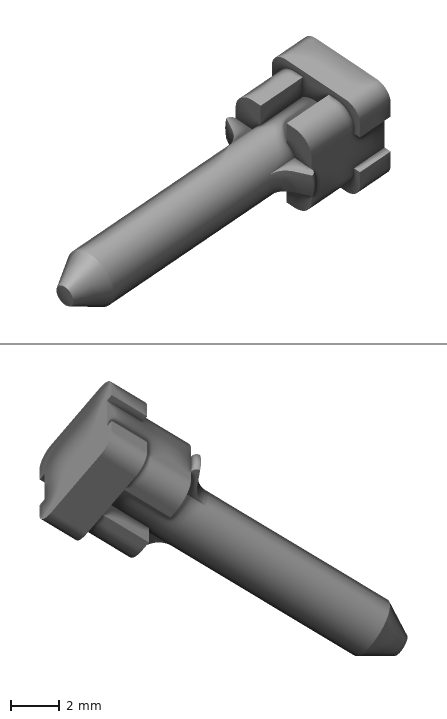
import cadquery as cq

total_length = 16.6
head_width = 5.15
head_length = 1.81
head_corner_radius = 0.81
side_notch_height = 1.96

body_width = 4.45
body_end = 4.3
body_corner_radius = 1.01
body_slot_width = 1.53

shaft_diameter = 2.7
tip_diameter = 1.0
tip_length = 1.51

barb_thickness = 1.16
barb_nose_radius = 0.27
barb_cone_radius = 1.88
barb_cone_end = 0.63
barb_length = 1.53

shaft_radius = shaft_diameter / 2
tip_radius = tip_diameter / 2
barb_radius = head_width / 2


def rounded_block(width, length, corner_radius):
    """Square block running from the rear face toward -Y, rounded along Y."""
    block = cq.Workplane("XZ").rect(width, width).extrude(length)
    return block.edges("|Y").fillet(corner_radius)


def make_head():
    """Rear flange, notched on both X sides down to the body."""
    head = rounded_block(head_width, head_length, head_corner_radius)
    side_depth = (head_width - body_width) / 2
    notch_center = (head_width - side_depth) / 2
    notches = (
        cq.Workplane("XZ")
        .pushPoints([(-notch_center, 0), (notch_center, 0)])
        .rect(side_depth, side_notch_height)
        .extrude(head_length)
    )
    return head.cut(notches)


def make_body():
    """Two rounded cheeks separated by a slot in front of the head."""
    body = rounded_block(body_width, body_end, body_corner_radius)
    slot = (
        cq.Workplane("XZ", origin=(0, -head_length, 0))
        .rect(body_slot_width, body_width)
        .extrude(body_end - head_length)
    )
    return body.cut(slot)


def make_shaft():
    """Round shaft with a truncated conical tip."""
    return (
        cq.Workplane("XY")
        .lineTo(shaft_radius, 0)
        .lineTo(shaft_radius, tip_length - total_length)
        .lineTo(tip_radius, -total_length)
        .lineTo(0, -total_length)
        .close()
        .revolve(360, (0, 0, 0), (0, 1, 0))
    )


def make_barbs():
    """Flared collar revolved about the shaft, trimmed to a flat band across X."""
    collar = (
        cq.Workplane("XY", origin=(0, -body_end, 0))
        .lineTo(barb_radius - barb_nose_radius, 0)
        .radiusArc((barb_radius, -barb_nose_radius), barb_nose_radius)
        .lineTo(barb_cone_radius, -barb_cone_end)
        .tangentArcPoint((shaft_radius, -barb_length), relative=False)
        .lineTo(0, -barb_length)
        .close()
        .revolve(360, (0, 0, 0), (0, 1, 0))
    )
    band = (
        cq.Workplane("XZ", origin=(0, -body_end, 0))
        .rect(head_width, barb_thickness)
        .extrude(barb_length)
    )
    return collar.intersect(band)


result = make_head().union(make_body()).union(make_shaft()).union(make_barbs())